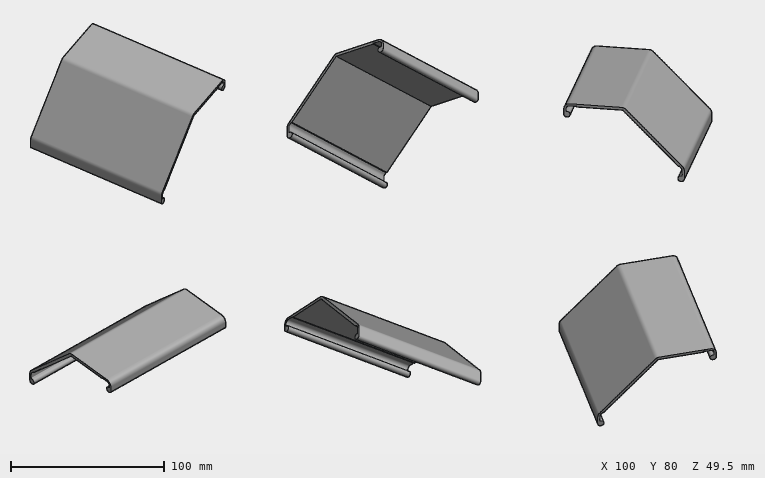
import cadquery as cq
import math

LENGTH = 100.0
DEPTH = 80.0
TOP_WIDTH = 40.0
LIP_HEIGHT = 9.5
PANEL_THICKNESS = 2.0
LIP_THICKNESS = 1.5
BEND_RADIUS = 4.0
BEAD_HEIGHT = 4.0
BEAD_WIDTH = 4.3
NECK_RADIUS = 0.5
TOP_STEP = 8.4
SLOPE_STEP = 76.05
SLOPE_ANGLE = math.radians(45)

BACK = DEPTH / 2
FRONT = -DEPTH / 2
BEND_Y = BACK - TOP_WIDTH
SLOPE_DROP = (DEPTH - TOP_WIDTH) * math.tan(SLOPE_ANGLE)
HALF_BEND = SLOPE_ANGLE / 2
BEND_TANGENT = BEND_RADIUS * math.tan(HALF_BEND)
INNER_RADIUS = BEND_RADIUS - LIP_THICKNESS
BEAD_RADIUS = BEAD_HEIGHT / 2
BACK_BEAD_Z = BEAD_RADIUS - LIP_HEIGHT
FRONT_BEAD_Z = BACK_BEAD_Z - SLOPE_DROP

TOWARD_BACK = 0.0
UPWARD = math.radians(90)
TOWARD_FRONT = math.radians(180)
SLOPE_NORMAL = UPWARD + SLOPE_ANGLE

BACK_CENTRE = (BACK - BEND_RADIUS, -BEND_RADIUS)
RIDGE_CENTRE = (BEND_Y + BEND_TANGENT, -BEND_RADIUS)
FRONT_CENTRE = (FRONT + BEND_RADIUS, -SLOPE_DROP - BEND_TANGENT)


def polar(centre, radius, angle):
    """Point (Y, Z) on a circle."""
    y, z = centre
    return (y + radius * math.cos(angle), z + radius * math.sin(angle))


def line_and_bend(outline, centre, radius, start, end):
    """Run straight to the start of a bend and follow its arc to the end angle."""
    return (
        outline
        .lineTo(*polar(centre, radius, start))
        .threePointArc(polar(centre, radius, (start + end) / 2), polar(centre, radius, end))
    )


def slope_depth(thickness):
    """Vertical distance from the slope's outer face to a line at the given thickness."""
    return thickness / math.cos(SLOPE_ANGLE)


def outer_side(outline):
    """Outer faces, from the back bead over the ridge to the front bead."""
    outline = line_and_bend(outline, BACK_CENTRE, BEND_RADIUS, TOWARD_BACK, UPWARD)
    outline = line_and_bend(outline, RIDGE_CENTRE, BEND_RADIUS, UPWARD, SLOPE_NORMAL)
    outline = line_and_bend(outline, FRONT_CENTRE, BEND_RADIUS, SLOPE_NORMAL, TOWARD_FRONT)
    return outline.lineTo(FRONT, FRONT_BEAD_Z)


def inner_side(outline):
    """Inner faces, from the front bead to the back bead, with both thickness steps."""
    inner_ridge_y = BEND_Y + PANEL_THICKNESS * math.tan(HALF_BEND)
    step_y = BACK - SLOPE_STEP
    step_z = (step_y - BEND_Y) * math.tan(SLOPE_ANGLE) - slope_depth(PANEL_THICKNESS)
    thin_y = BEND_Y + (step_z + slope_depth(LIP_THICKNESS)) / math.tan(SLOPE_ANGLE)

    outline = line_and_bend(outline, FRONT_CENTRE, INNER_RADIUS, TOWARD_FRONT, SLOPE_NORMAL)
    outline = (
        outline
        .lineTo(thin_y, step_z)
        .lineTo(step_y, step_z)
        .lineTo(inner_ridge_y, -PANEL_THICKNESS)
        .lineTo(BACK - TOP_STEP, -PANEL_THICKNESS)
        .lineTo(BACK - TOP_STEP, -LIP_THICKNESS)
    )
    return line_and_bend(outline, BACK_CENTRE, INNER_RADIUS, UPWARD, TOWARD_BACK)


def bead_points(face_y, bead_z, inward):
    """Bead outline from the lip's outer face to its inner face; inward is the Y sign into the part.

    The points come in order: outer side, bottom start, bottom end, tip, top end, neck start, neck end.
    """
    bottom_z = bead_z - BEAD_RADIUS
    top_z = bead_z + BEAD_RADIUS
    offsets = [
        (0, bead_z),
        (BEAD_RADIUS, bottom_z),
        (BEAD_WIDTH - BEAD_RADIUS, bottom_z),
        (BEAD_WIDTH, bead_z),
        (BEAD_WIDTH - BEAD_RADIUS, top_z),
        (LIP_THICKNESS + NECK_RADIUS, top_z),
        (LIP_THICKNESS, top_z + NECK_RADIUS),
    ]
    return [(face_y + inward * offset, z) for offset, z in offsets]


def front_bead(outline):
    """Front bead, from the outer face round to the lip's inner face."""
    _, bottom_start, bottom_end, tip, top_end, neck_start, neck_end = bead_points(FRONT, FRONT_BEAD_Z, 1)
    return (
        outline
        .radiusArc(bottom_start, -BEAD_RADIUS)
        .lineTo(*bottom_end)
        .threePointArc(tip, top_end)
        .lineTo(*neck_start)
        .radiusArc(neck_end, NECK_RADIUS)
    )


def back_bead(outline):
    """Back bead, from the lip's inner face round to the outer face."""
    outer, bottom_start, bottom_end, tip, top_end, neck_start, neck_end = bead_points(BACK, BACK_BEAD_Z, -1)
    return (
        outline
        .lineTo(*neck_end)
        .radiusArc(neck_start, NECK_RADIUS)
        .lineTo(*top_end)
        .threePointArc(tip, bottom_end)
        .lineTo(*bottom_start)
        .radiusArc(outer, -BEAD_RADIUS)
    )


section = cq.Workplane("YZ").moveTo(BACK, BACK_BEAD_Z)
section = outer_side(section)
section = front_bead(section)
section = inner_side(section)
section = back_bead(section).close()

result = section.extrude(LENGTH / 2, both=True)